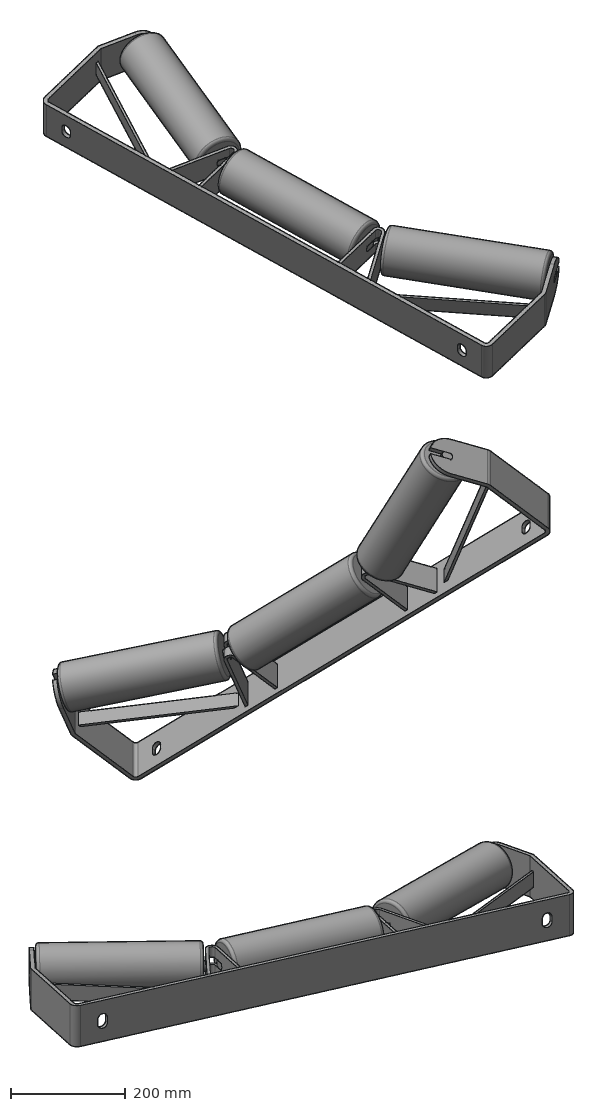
import cadquery as cq
import math


frame_length = 980.0
strap_width = 80.0
strap_thickness = 8.0
bend_inner_radius = 6.0
arm_bend_height = 167.0
arm_length = 112.0
tilt = 25.0
mount_slot_spacing = 866.0
mount_slot_width = 19.0
mount_slot_height = 28.0

roller_diameter = 89.0
roller_length = 292.0
roller_edge_fillet = 6.0
roller_axis_height = 101.0
end_gap = 3.4
shaft_diameter = 20.0
shaft_flat_width = 14.0
wing_seat_distance = 79.0

saddle_width = 55.0
saddle_thickness = 6.0
saddle_top_height = 128.0

strut_thickness = 5.0
strut_width = 30.0
strut_top_height = 157.0
strut_foot_x = 241.0

half_length = frame_length / 2
arm_tip_radius = strap_width / 2
arm_cut_depth = 4 * strap_thickness
strap_outer_radius = bend_inner_radius + strap_thickness
saddle_outer_radius = bend_inner_radius + saddle_thickness
sin_tilt = math.sin(math.radians(tilt))
cos_tilt = math.cos(math.radians(tilt))
shaft_radius = shaft_diameter / 2

wing_seat = (
    -half_length + wing_seat_distance * sin_tilt,
    arm_bend_height + wing_seat_distance * cos_tilt,
)
wing_centre_distance = strap_thickness + end_gap + roller_length / 2
wing_centre = (
    wing_seat[0] + wing_centre_distance * cos_tilt,
    wing_seat[1] - wing_centre_distance * sin_tilt,
)
wing_saddle_distance = strap_thickness + roller_length + 2 * end_gap
wing_saddle_point = (
    wing_seat[0] + wing_saddle_distance * cos_tilt,
    wing_seat[1] - wing_saddle_distance * sin_tilt,
)


def plate(outline, width):
    """Closed XY outline made into a plate of the given width, centred on Z = 0."""
    return cq.Workplane("XY").polyline(outline).close().extrude(width / 2, both=True)


def mirrored(body):
    """Copy of a left-hand body on the right-hand side."""
    return body.mirror("YZ")


def along_axis(centre, angle):
    """Workplane whose local X lies along a roller axis, turned by angle about Z."""
    return cq.Workplane(cq.Plane(
        origin=(centre[0], centre[1], 0),
        xDir=(math.cos(math.radians(angle)), math.sin(math.radians(angle)), 0),
        normal=(0, 0, 1),
    ))


def shaft_seat(centre, angle, length):
    """Cutter for an open-topped slot with a rounded bottom that fits a flattened shaft end."""
    seat_height = strap_width
    bottom = (
        along_axis(centre, angle)
        .transformed(rotate=(0, 90, 0))
        .circle(shaft_radius)
        .extrude(length / 2, both=True)
    )
    opening = along_axis(centre, angle).center(0, seat_height / 2).box(length, seat_height, shaft_diameter)
    flats = along_axis(centre, angle).box(length, 2 * seat_height, shaft_flat_width)
    return bottom.union(opening).intersect(flats)


def make_frame():
    """Bent strap with round-tipped sloping arms, shaft slots and mounting slots."""
    tip = (-half_length + arm_length * sin_tilt, arm_bend_height + arm_length * cos_tilt)
    inner_bend_height = arm_bend_height - strap_thickness * math.tan(math.radians(tilt / 2))
    inner_x = half_length - strap_thickness
    inner_tip = (tip[0] + strap_thickness * cos_tilt, tip[1] - strap_thickness * sin_tilt)
    left_outer = [(-half_length, 0), (-half_length, arm_bend_height), tip]
    left_inner = [inner_tip, (-inner_x, inner_bend_height), (-inner_x, strap_thickness)]
    left_side = left_outer + left_inner
    right_side = [(-x, y) for x, y in reversed(left_side)]
    frame = plate(left_side + right_side, strap_width)

    for side in (-1, 1):
        outer_edges = [(side * half_length, 0), (side * half_length, arm_bend_height)]
        inner_edges = [(side * inner_x, strap_thickness), (side * inner_x, inner_bend_height)]
        for radius, points in ((strap_outer_radius, outer_edges), (bend_inner_radius, inner_edges)):
            for x, y in points:
                edge = cq.selectors.NearestToPointSelector((x, y, 0))
                frame = frame.edges("|Z").edges(edge).fillet(radius)

    left_cut = arm_tip_waste().union(shaft_seat(wing_seat, -tilt, arm_cut_depth))
    frame = frame.cut(left_cut).cut(mirrored(left_cut))

    mount_slots = (
        cq.Workplane("XZ")
        .pushPoints([(-mount_slot_spacing / 2, 0), (mount_slot_spacing / 2, 0)])
        .slot2D(mount_slot_height, mount_slot_width, 90)
        .extrude(-strap_thickness)
    )
    return frame.cut(mount_slots)


def arm_tip_waste():
    """Material outside the round tip of the left arm."""
    tip_centre_distance = arm_length - arm_tip_radius
    centre = (
        -half_length + tip_centre_distance * sin_tilt,
        arm_bend_height + tip_centre_distance * cos_tilt,
    )
    block = along_axis(centre, -tilt).center(0, arm_tip_radius).box(arm_cut_depth, strap_width, strap_width)
    disc = (
        along_axis(centre, -tilt)
        .transformed(rotate=(0, 90, 0))
        .circle(arm_tip_radius)
        .extrude(arm_cut_depth / 2, both=True)
    )
    return block.cut(disc)


def make_saddle():
    """Left saddle: a folded plate with one leg upright and one square to the wing roller."""
    upright_x = -roller_length / 2 - end_gap
    bend_centre = (upright_x - saddle_outer_radius, saddle_top_height - saddle_outer_radius)

    def fold(radius):
        """Filled outline under the fold at the given bend radius."""
        tangent = (bend_centre[0] - radius * cos_tilt, bend_centre[1] + radius * sin_tilt)
        crown = (bend_centre[0], bend_centre[1] + radius)
        upright_top = (bend_centre[0] + radius, bend_centre[1])
        foot_drop = tangent[1] - strap_thickness
        foot = (tangent[0] - foot_drop * sin_tilt / cos_tilt, strap_thickness)
        return (
            cq.Workplane("XY")
            .moveTo(*foot)
            .lineTo(*tangent)
            .threePointArc(crown, upright_top)
            .lineTo(upright_top[0], strap_thickness)
            .close()
            .extrude(saddle_width / 2, both=True)
        )

    saddle = fold(saddle_outer_radius).cut(fold(bend_inner_radius))
    seat_length = 2 * saddle_outer_radius
    upright_seat = shaft_seat((upright_x, roller_axis_height), 0, seat_length)
    wing_seat_cut = shaft_seat(wing_saddle_point, -tilt, seat_length)
    return saddle.cut(upright_seat).cut(wing_seat_cut)


def make_roller(centre, angle, left_reach, right_reach):
    """Roller with its shaft; each reach is how far a flattened shaft end passes its roller end."""
    body = (
        cq.Workplane("YZ", origin=(-roller_length / 2, 0, 0))
        .circle(roller_diameter / 2)
        .extrude(roller_length)
        .edges()
        .fillet(roller_edge_fillet)
    )
    flats_length = roller_length + 2 * max(left_reach, right_reach)
    flats = cq.Workplane("XY").box(flats_length, shaft_diameter, shaft_flat_width)
    for side, reach in ((-1, left_reach), (1, right_reach)):
        face = cq.Workplane("YZ", origin=(side * roller_length / 2, 0, 0))
        journal = face.circle(shaft_radius).extrude(side * end_gap)
        end = face.circle(shaft_radius).extrude(side * reach)
        body = body.union(journal).union(end.intersect(flats))
    return body.rotate((0, 0, 0), (0, 0, 1), angle).translate((centre[0], centre[1], 0))


def make_strut():
    """Left strut: a flat bar from the upright of the frame down to its base."""
    wall_x = half_length - strap_thickness
    run = wall_x - strut_foot_x
    rise = strut_top_height - strap_thickness
    slant = math.hypot(run, rise)
    outline = [
        (-wall_x, strut_top_height),
        (-strut_foot_x, strap_thickness),
        (-strut_foot_x - strut_thickness * slant / rise, strap_thickness),
        (-wall_x, strut_top_height - strut_thickness * slant / run),
    ]
    return plate(outline, strut_width)


frame = make_frame()
saddle = make_saddle()
strut = make_strut()
saddle_reach = end_gap + saddle_thickness
arm_reach = end_gap + strap_thickness
middle_roller = make_roller((0, roller_axis_height), 0, saddle_reach, saddle_reach)
wing_roller = make_roller(wing_centre, -tilt, arm_reach, saddle_reach)

bodies = [frame, middle_roller]
for left_body in (saddle, strut, wing_roller):
    bodies += [left_body, mirrored(left_body)]

result = cq.Compound.makeCompound([body.val() for body in bodies])